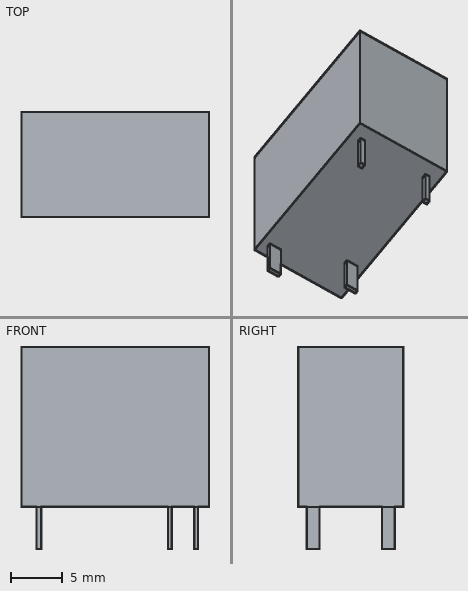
import cadquery as cq

total_height = 19.6
case_length = 18.2
case_width = 10.21
case_height = 15.5
terminal_length = total_height - case_height

coil_side = 0.49
coil_x = -7.4
coil_y = 3.8

contact_thickness = 0.4
contact_width = 1.27
contact_y = 3.65
coil_to_contact = 12.7
front_contact_x = coil_x + coil_to_contact
contact_stagger = 2.55
rear_contact_x = front_contact_x + contact_stagger


def terminal(x, y, size_x, size_y):
    """Straight bar hanging from the case underside, centred on (x, y)."""
    return (
        cq.Workplane("XY")
        .center(x, y)
        .rect(size_x, size_y)
        .extrude(-terminal_length)
    )


result = cq.Workplane("XY").rect(case_length, case_width).extrude(case_height)

for side in (-1, 1):
    result = result.union(terminal(coil_x, side * coil_y, coil_side, coil_side))

for x, y in ((front_contact_x, -contact_y), (rear_contact_x, contact_y)):
    result = result.union(terminal(x, y, contact_thickness, contact_width))